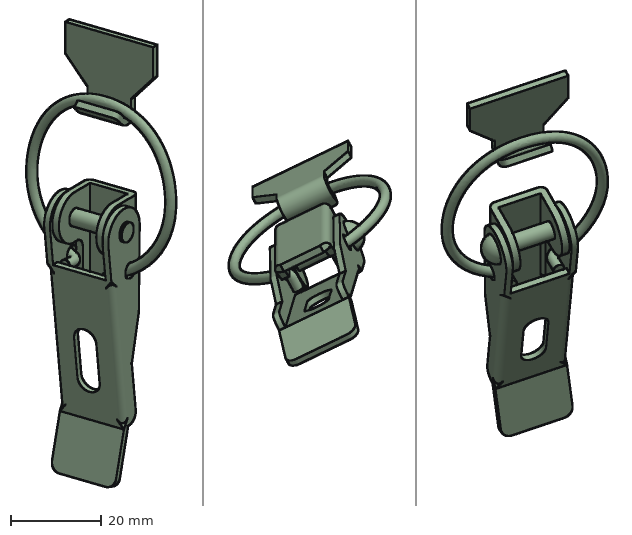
import cadquery as cq
import math


OVERALL_LENGTH = 104.9

PIVOT_DEPTH = 7.8
PIVOT_Z = 61.5
SHANK_RADIUS = 2.1
DOME_RADIUS = 3.6
DOME_HEIGHT = 2.9
UPSET_RADIUS = 2.3
UPSET_THICKNESS = 0.6

STRIKE_THICKNESS = 1.7
STRIKE_WIDTH = 23.7
STRIKE_SHOULDER_Z = 97.2
STRIKE_NECK_Z = 90.7
HOOK_WIDTH = 11.7
HOOK_BOTTOM_Z = 85.0
HOOK_INNER_RADIUS = 1.4
HOOK_LEG_LENGTH = 3.1
HOOK_LEG_ANGLE = 45.0
HOOK_TIP_RADIUS = 1.3

BASE_WIDTH = 13.6
BASE_THICKNESS = 1.8
BASE_BEND_RADIUS = 1.6
BASE_BOTTOM_Z = 37.5
EAR_RADIUS = 6.1
BASE_LIP_DEPTH = 4.6
EAR_ROOT_RADIUS = 2.2
BASE_CORNER_CHAMFER = 1.9

LEVER_WIDTH = 17.3
LEVER_THICKNESS = 1.6
LEVER_BEND_RADIUS = 1.7
BEND_RUNOUT = 2.1
LEVER_TILT = 7.3
LEVER_EAR_DEPTH = 8.3
LEVER_EAR_Z = 61.1
CREASE_Z = 13.6
PLATE_LENGTH = 38.0
LEVER_BACK_DEPTH = 2.5
LEVER_BACK_BOTTOM_Z = 40.1
LEVER_NARROW_DEPTH = 5.2
LEVER_NARROW_Z = 28.5
LEVER_HEEL_RADIUS = 2.5
TAB_TILT = 15.6
TAB_CORNER_RADIUS = 2.4
SLOT_WIDTH = 6.0
SLOT_LENGTH = 16.0
SLOT_CENTER_HEIGHT = 15.3
RING_HOLE_RADIUS = 1.9
RING_HOLE_DEPTH = 5.9
RING_HOLE_Z = 51.4

WIRE_RADIUS = 1.3
RING_WIDTH = 40.0
RING_DEPTH = 4.7
RING_Z = 68.8
RING_TILT = 3.9
RING_CROWN_HEIGHT = 20.3
CROWN_SIDE_PULL = 0.5
CROWN_TOP_PULL = 0.67
RING_LOWER_RADIUS = 19.6
RING_BEND_START_X = 7.0
RING_BEND_RADIUS = 1.5
RING_TAIL_LENGTH = 3.0


def side_profile(start):
    """Begin an outline in the plane x = 0, with coordinates (y, z)."""
    return cq.Workplane("YZ").moveTo(*start)


def cross_hole(radius, depth, z):
    """Rod along X, used to drill both walls of a channel."""
    return cq.Workplane("YZ").center(-depth, z).circle(radius).extrude(LEVER_WIDTH, both=True)


def make_strike():
    outer_radius = HOOK_INNER_RADIUS + STRIKE_THICKNESS
    center_z = HOOK_BOTTOM_Z + outer_radius
    cos_leg = math.cos(math.radians(HOOK_LEG_ANGLE))
    sin_leg = math.sin(math.radians(HOOK_LEG_ANGLE))

    def on_bend(radius, angle):
        """Point on the hook bend, the angle measured from its back around through the bottom."""
        turn = math.radians(angle)
        return (-outer_radius + radius * math.cos(turn), center_z - radius * math.sin(turn))

    def along_leg(point):
        return (point[0] - HOOK_LEG_LENGTH * cos_leg, point[1] + HOOK_LEG_LENGTH * sin_leg)

    leg_turn = 180 - HOOK_LEG_ANGLE
    outer_end = on_bend(outer_radius, leg_turn)
    inner_end = on_bend(HOOK_INNER_RADIUS, leg_turn)
    section = (
        side_profile((0, OVERALL_LENGTH))
        .lineTo(0, center_z)
        .threePointArc(on_bend(outer_radius, leg_turn / 2), outer_end)
        .lineTo(*along_leg(outer_end))
        .lineTo(*along_leg(inner_end))
        .lineTo(*inner_end)
        .threePointArc(on_bend(HOOK_INNER_RADIUS, leg_turn / 2), (-STRIKE_THICKNESS, center_z))
        .lineTo(-STRIKE_THICKNESS, OVERALL_LENGTH)
        .close()
        .extrude(STRIKE_WIDTH / 2, both=True)
    )
    half_plate = STRIKE_WIDTH / 2
    half_hook = HOOK_WIDTH / 2
    face_outline = (
        cq.Workplane("XZ")
        .polyline([
            (-half_plate, OVERALL_LENGTH), (-half_plate, STRIKE_SHOULDER_Z),
            (-half_hook, STRIKE_NECK_Z), (-half_hook, HOOK_BOTTOM_Z),
            (half_hook, HOOK_BOTTOM_Z), (half_hook, STRIKE_NECK_Z),
            (half_plate, STRIKE_SHOULDER_Z), (half_plate, OVERALL_LENGTH),
        ])
        .close()
        .extrude(4 * outer_radius)
    )
    strike = section.intersect(face_outline)
    tip_corners = cq.selectors.BoxSelector(
        (-half_plate, along_leg(outer_end)[0] - STRIKE_THICKNESS, HOOK_BOTTOM_Z + outer_radius),
        (half_plate, along_leg(inner_end)[0] + STRIKE_THICKNESS / 2, STRIKE_NECK_Z),
    )
    across_leg = cq.selectors.ParallelDirSelector(cq.Vector(0, cos_leg, sin_leg))
    return strike.edges(tip_corners).edges(across_leg).fillet(HOOK_TIP_RADIUS)


def make_base():
    base_top_z = PIVOT_Z + EAR_RADIUS
    base_front_depth = PIVOT_DEPTH + EAR_RADIUS
    root_y = -BASE_LIP_DEPTH - EAR_ROOT_RADIUS
    centers_apart = EAR_RADIUS + EAR_ROOT_RADIUS
    root_drop = math.sqrt(centers_apart ** 2 - (root_y + PIVOT_DEPTH) ** 2)
    root_z = PIVOT_Z - root_drop
    ear_share = EAR_RADIUS / centers_apart
    tangent_point = (-PIVOT_DEPTH + ear_share * (root_y + PIVOT_DEPTH), PIVOT_Z - ear_share * root_drop)
    root_mid = (
        root_y + EAR_ROOT_RADIUS * math.cos(math.pi / 4),
        root_z + EAR_ROOT_RADIUS * math.sin(math.pi / 4),
    )
    flange_bottom_z = BASE_BOTTOM_Z + BASE_CORNER_CHAMFER
    lip_bottom_z = flange_bottom_z + BASE_LIP_DEPTH - BASE_THICKNESS
    block = (
        side_profile((0, base_top_z))
        .lineTo(-PIVOT_DEPTH, base_top_z)
        .threePointArc((-PIVOT_DEPTH - EAR_RADIUS, PIVOT_Z), tangent_point)
        .threePointArc(root_mid, (-BASE_LIP_DEPTH, root_z))
        .lineTo(-BASE_LIP_DEPTH, lip_bottom_z)
        .lineTo(-BASE_THICKNESS, flange_bottom_z)
        .lineTo(-BASE_THICKNESS, BASE_BOTTOM_Z)
        .lineTo(0, BASE_BOTTOM_Z)
        .close()
        .extrude(BASE_WIDTH / 2, both=True)
    )
    block = block.edges("|Z and >Y").fillet(BASE_BEND_RADIUS)
    half_width = BASE_WIDTH / 2
    half_bottom = half_width - BASE_CORNER_CHAMFER
    face_outline = (
        cq.Workplane("XZ")
        .polyline([
            (-half_width, base_top_z), (-half_width, flange_bottom_z), (-half_bottom, BASE_BOTTOM_Z),
            (half_bottom, BASE_BOTTOM_Z), (half_width, flange_bottom_z), (half_width, base_top_z),
        ])
        .close()
        .extrude(base_front_depth)
    )
    block = block.intersect(face_outline)
    channel = (
        cq.Workplane("XZ", origin=(0, -BASE_THICKNESS, 0))
        .rect(BASE_WIDTH - 2 * BASE_THICKNESS, 2 * OVERALL_LENGTH)
        .extrude(base_front_depth)
    )
    return block.cut(channel).cut(cross_hole(SHANK_RADIUS, PIVOT_DEPTH, PIVOT_Z))


def make_lever():
    tilt = math.radians(LEVER_TILT)
    tab_tilt = math.radians(TAB_TILT)
    crease_depth = (
        LEVER_EAR_DEPTH + EAR_RADIUS / math.cos(tilt) - (LEVER_EAR_Z - CREASE_Z) * math.tan(tilt)
    )
    face = cq.Plane(
        origin=(0, -crease_depth, CREASE_Z),
        xDir=(1, 0, 0),
        normal=(0, -math.cos(tilt), -math.sin(tilt)),
    )

    def on_face(height, inset):
        """Point (y, z) at a height up the front face and an inset behind it."""
        point = face.toWorldCoords((0, height, -inset))
        return (point.y, point.z)

    def walls():
        ear_mid = math.pi / 4
        face_depth = crease_depth + (LEVER_NARROW_Z - CREASE_Z) * math.tan(tilt)
        heel_inset = (face_depth - LEVER_NARROW_DEPTH) * math.cos(tilt)
        ear_height = (LEVER_EAR_Z - CREASE_Z) / math.cos(tilt) - EAR_RADIUS * math.tan(tilt)
        block = (
            side_profile((-LEVER_EAR_DEPTH + EAR_RADIUS, LEVER_EAR_Z))
            .threePointArc(
                (
                    -LEVER_EAR_DEPTH - EAR_RADIUS * math.cos(ear_mid),
                    LEVER_EAR_Z + EAR_RADIUS * math.sin(ear_mid),
                ),
                on_face(ear_height, 0),
            )
            .lineTo(*on_face(0, 0))
            .lineTo(*on_face(0, heel_inset))
            .lineTo(-LEVER_NARROW_DEPTH, LEVER_NARROW_Z)
            .lineTo(-LEVER_BACK_DEPTH, LEVER_BACK_BOTTOM_Z)
            .close()
            .extrude(LEVER_WIDTH / 2, both=True)
        )
        heel = on_face(0, heel_inset)
        heel_edge = cq.selectors.NearestToPointSelector((0, *heel))
        rounded = block.edges(heel_edge).fillet(LEVER_HEEL_RADIUS)
        inside = cq.Workplane("XY").box(
            LEVER_WIDTH - 2 * LEVER_THICKNESS, OVERALL_LENGTH, 2 * OVERALL_LENGTH
        )
        return rounded.cut(inside)

    def plate_and_tab():
        fold_inset = LEVER_THICKNESS * math.tan((tilt + tab_tilt) / 2)
        tab_end_z = LEVER_THICKNESS * math.sin(tab_tilt)
        tab_end_y = -crease_depth - (CREASE_Z - tab_end_z) * math.tan(tab_tilt)
        tab_back_y = tab_end_y + LEVER_THICKNESS * math.cos(tab_tilt)
        strip = (
            side_profile(on_face(PLATE_LENGTH, 0))
            .lineTo(*on_face(0, 0))
            .lineTo(tab_end_y, tab_end_z)
            .lineTo(tab_back_y, 0)
            .lineTo(*on_face(-fold_inset, LEVER_THICKNESS))
            .lineTo(*on_face(PLATE_LENGTH, LEVER_THICKNESS))
            .close()
            .extrude(LEVER_WIDTH / 2, both=True)
        )
        across_tab = cq.selectors.ParallelDirSelector(cq.Vector(0, math.cos(tab_tilt), -math.sin(tab_tilt)))
        tab_end = cq.selectors.BoxSelector(
            (-LEVER_WIDTH, -OVERALL_LENGTH, -LEVER_THICKNESS),
            (LEVER_WIDTH, OVERALL_LENGTH, LEVER_THICKNESS),
        )
        return strip.edges(tab_end).edges(across_tab).fillet(TAB_CORNER_RADIUS)

    def bend_relief(side):
        """Waste outside one rounded long edge of the front face, with ends that slope to the corner."""
        radius = LEVER_BEND_RADIUS
        corner_x = side * LEVER_WIDTH / 2
        tangent_x = corner_x - side * radius
        arc_x = tangent_x + side * radius * math.sin(math.pi / 4)
        arc_inset = radius * (1 - math.cos(math.pi / 4))
        end_plane = cq.Plane(origin=face.origin.toTuple(), xDir=(1, 0, 0), normal=face.yDir.toTuple())
        corner = (
            cq.Workplane(end_plane)
            .moveTo(tangent_x, 0)
            .threePointArc((arc_x, arc_inset), (corner_x, radius))
            .lineTo(corner_x, 0)
            .close()
            .extrude(PLATE_LENGTH)
        )
        inward = cq.Vector(-side, 0, 0) - face.zDir
        bisector = cq.Plane(
            origin=face.toWorldCoords((corner_x, 0, 0)).toTuple(),
            xDir=inward.toTuple(),
            normal=inward.cross(face.yDir).toTuple(),
        )
        reach = radius * math.sin(math.pi / 4)
        sloped_ends = (
            cq.Workplane(bisector)
            .polyline([
                (0, 0), (reach, BEND_RUNOUT), (reach, PLATE_LENGTH - BEND_RUNOUT), (0, PLATE_LENGTH),
            ])
            .close()
            .extrude(2 * radius, both=True)
        )
        return corner.intersect(sloped_ends)

    lever = walls().union(plate_and_tab())
    for side in (-1, 1):
        lever = lever.cut(bend_relief(side))
    slot = (
        cq.Workplane(face)
        .center(0, SLOT_CENTER_HEIGHT)
        .slot2D(SLOT_LENGTH, SLOT_WIDTH, 90)
        .extrude(-2 * LEVER_THICKNESS)
    )
    lever = lever.cut(slot)
    lever = lever.cut(cross_hole(SHANK_RADIUS, PIVOT_DEPTH, PIVOT_Z))
    return lever.cut(cross_hole(RING_HOLE_RADIUS, RING_HOLE_DEPTH, RING_HOLE_Z))


def make_rivet():
    half_width = LEVER_WIDTH / 2
    dome_ball_radius = (DOME_RADIUS ** 2 + DOME_HEIGHT ** 2) / (2 * DOME_HEIGHT)
    ball_center = -half_width - DOME_HEIGHT + dome_ball_radius
    mid_angle = math.asin(DOME_RADIUS / dome_ball_radius) / 2
    dome_mid = (ball_center - dome_ball_radius * math.cos(mid_angle), dome_ball_radius * math.sin(mid_angle))
    return (
        cq.Workplane("XZ")
        .moveTo(-half_width - DOME_HEIGHT, 0)
        .threePointArc(dome_mid, (-half_width, DOME_RADIUS))
        .lineTo(-half_width, SHANK_RADIUS)
        .lineTo(half_width, SHANK_RADIUS)
        .lineTo(half_width, UPSET_RADIUS)
        .lineTo(half_width + UPSET_THICKNESS, UPSET_RADIUS)
        .lineTo(half_width + UPSET_THICKNESS, 0)
        .close()
        .revolve(360, (0, 0, 0), (1, 0, 0))
        .translate((0, -PIVOT_DEPTH, PIVOT_Z))
    )


def make_ring():
    half_width = RING_WIDTH / 2 - WIRE_RADIUS
    crown_top = cq.Vector(0, 0, RING_CROWN_HEIGHT)
    crown = cq.Edge.makeBezier([
        crown_top,
        cq.Vector(CROWN_TOP_PULL * half_width, 0, RING_CROWN_HEIGHT),
        cq.Vector(half_width, 0, CROWN_SIDE_PULL * RING_CROWN_HEIGHT),
        cq.Vector(half_width, 0, 0),
    ])
    arc_center_x = half_width - RING_LOWER_RADIUS
    arc_end = math.acos((RING_BEND_START_X - arc_center_x) / RING_LOWER_RADIUS)

    def on_arc(angle):
        return cq.Vector(
            arc_center_x + RING_LOWER_RADIUS * math.cos(angle), 0, -RING_LOWER_RADIUS * math.sin(angle)
        )

    lower = cq.Edge.makeThreePointArc(on_arc(0), on_arc(arc_end / 2), on_arc(arc_end))
    inward = cq.Vector(-math.sin(arc_end), 0, -math.cos(arc_end))
    forward = cq.Vector(0, -1, 0)
    bend_start = on_arc(arc_end)
    bend_center = bend_start + forward * RING_BEND_RADIUS
    bend_mid = bend_center + (inward - forward) * (RING_BEND_RADIUS * math.sin(math.pi / 4))
    bend_end = bend_center + inward * RING_BEND_RADIUS
    bend = cq.Edge.makeThreePointArc(bend_start, bend_mid, bend_end)
    tail = cq.Edge.makeLine(bend_end, bend_end + forward * RING_TAIL_LENGTH)
    path = cq.Wire.assembleEdges([crown, lower, bend, tail])
    half = cq.Workplane("YZ").center(0, RING_CROWN_HEIGHT).circle(WIRE_RADIUS).sweep(cq.Workplane(path))
    ring = half.union(half.mirror("YZ"))
    return ring.rotate((0, 0, 0), (1, 0, 0), -RING_TILT).translate((0, -RING_DEPTH, RING_Z))


strike = make_strike()
base = make_base()
lever = make_lever()
rivet = make_rivet()
ring = make_ring()

result = cq.Compound.makeCompound([body.solids().val() for body in (strike, base, lever, rivet, ring)])